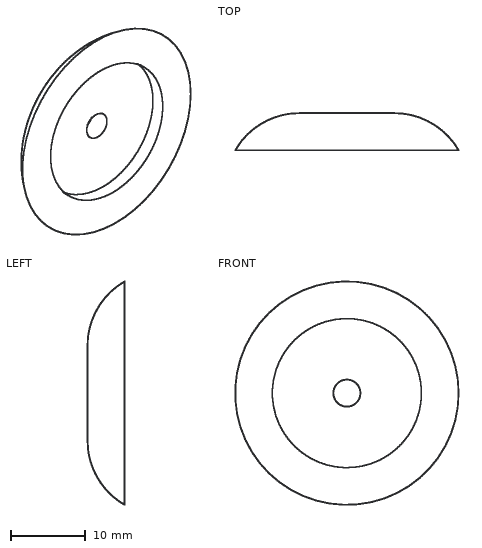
import cadquery as cq
import math

rim_radius = 15.0
thickness = 5.0
edge_arc_radius = 10.0
recess_radius = 10.0
recess_depth = 2.0
hole_radius = 1.8

arc_sweep = math.acos(1 - thickness / edge_arc_radius)
back_face_radius = rim_radius - edge_arc_radius * math.sin(arc_sweep)
arc_center_y = thickness - edge_arc_radius
arc_mid_point = (
    back_face_radius + edge_arc_radius * math.sin(arc_sweep / 2),
    arc_center_y + edge_arc_radius * math.cos(arc_sweep / 2),
)


def domed_disc():
    """Solid disc with its flat front face at Y = 0 and a rounded edge behind it."""
    half_profile = (
        cq.Workplane("XY")
        .lineTo(rim_radius, 0)
        .threePointArc(arc_mid_point, (back_face_radius, thickness))
        .lineTo(0, thickness)
        .close()
    )
    return half_profile.revolve(360, (0, 0, 0), (0, 1, 0))


def cylinder_from_front(radius, depth):
    """Cylinder on the Y axis, running from the front face toward +Y."""
    return cq.Workplane("XZ").circle(radius).extrude(-depth)


front_recess = cylinder_from_front(recess_radius, recess_depth)
through_hole = cylinder_from_front(hole_radius, thickness)

result = domed_disc().cut(front_recess).cut(through_hole)